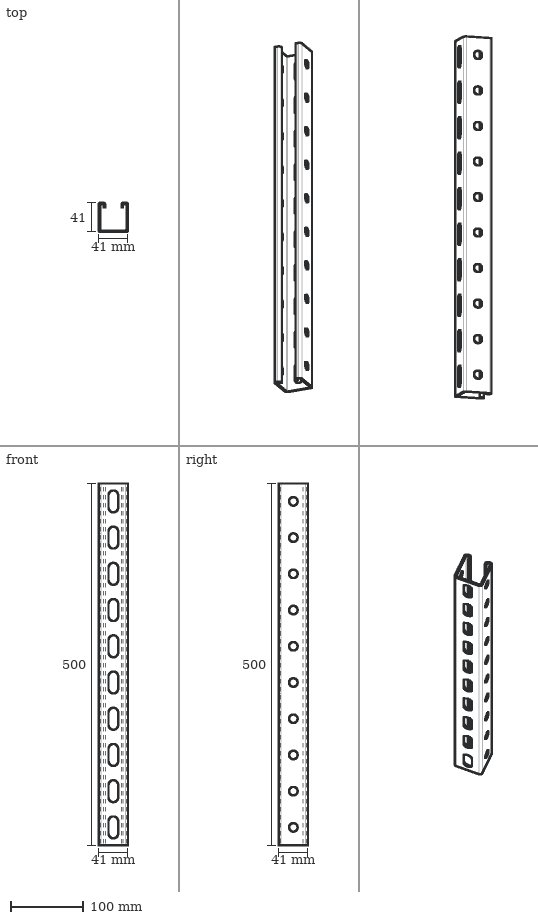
import cadquery as cq

length = 500.0
width = 41.0
depth = 41.0
thickness = 2.5
outer_bend_radius = 3.6
inner_bend_radius = outer_bend_radius - thickness

mouth_width = 22.0
lip_depth = 7.0

pitch = 50.0
slot_length = 30.0
slot_width = 13.0
hole_diameter = 11.5
perforation_count = round(length / pitch)


def contour_bar(inset, bend_radius):
    """Solid bar with the channel's contour, moved into the metal by inset and rounded at the bends.

    The mouth is a notch from the +Y face down to the lip tips.
    """
    bar = cq.Workplane("XY").box(width - 2 * inset, depth - 2 * inset, length)
    notch = cq.Workplane("XY").box(mouth_width + 2 * inset, lip_depth, length)
    notched = bar.cut(notch.translate((0, (depth - lip_depth) / 2, 0)))
    return notched.edges("|Z and (<Y or >Y)").fillet(bend_radius)


def perforation_centers():
    """Centres along the length, half a pitch in from each end."""
    first_z = (pitch - length) / 2
    return [(0, first_z + index * pitch) for index in range(perforation_count)]


def base_slots():
    """Obround cutters through the base wall, long axis along Z."""
    return (
        cq.Workplane("XZ", origin=(0, -depth / 2 + thickness, 0))
        .pushPoints(perforation_centers())
        .slot2D(slot_length, slot_width, 90)
        .extrude(thickness)
    )


def side_holes():
    """Round cutters through both side walls."""
    return (
        cq.Workplane("YZ")
        .pushPoints(perforation_centers())
        .circle(hole_diameter / 2)
        .extrude(width / 2, both=True)
    )


channel = contour_bar(0, outer_bend_radius).cut(contour_bar(thickness, inner_bend_radius))
result = channel.cut(base_slots()).cut(side_holes())